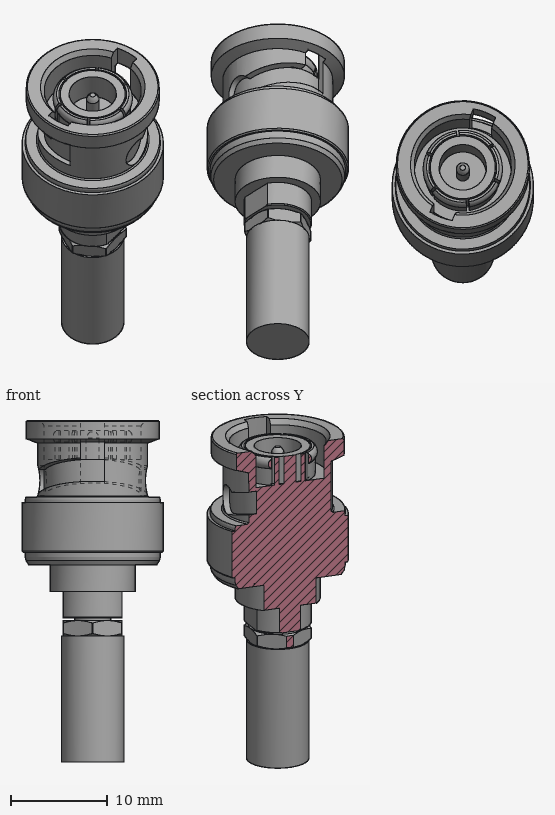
import cadquery as cq
import math


ferrule_top = 13.0
nut_top = 14.6
shank_bottom = 14.85
stem_bottom = 17.6
collar_bottom = 20.35
barrel_bottom = 21.6
barrel_top = 26.75
collar_top = 27.32
neck_top = 32.9
head_bottom = 33.35
sleeve_top = 35.25
shoulder_z = 31.2
contact_top = 34.2
insulator_top = 34.2
pin_top = 34.05

ferrule_r = 3.25
gap_r = 1.87
shank_r = 3.5
stem_r = 4.4
collar_r = 6.98
barrel_r = 7.3
neck_r = 5.68
head_r = 6.87
bore_r = 5.0

barrel_chamfer = 0.15
neck_foot = 0.15
shank_chamfer = 0.1
head_chamfer = 0.15
collar_taper = 0.07
collar_upper_taper_height = 0.25
collar_lower_taper_height = 0.3
collar_lower_chamfer_r = 0.28
collar_lower_chamfer_height = 0.45
bore_chamfer_r = 0.4
bore_chamfer_depth = 0.55

across_flats = 6.1
nut_chamfer_height = 0.25

contact_bulge_r = 4.1
contact_waist_r = 3.88
contact_tip_r = 3.75
contact_bore_r = 3.5
contact_bulge_z = 33.63
contact_waist_z = 33.0
slit_count = 6
slit_width = 0.28
insulator_r = 3.35
socket_r = 2.43
pin_r = 0.67
pin_tip_r = 0.28
pin_nose_bulge = 0.07
pin_shoulder_z = 33.45

key_width = 2.45
key_outer_r = 6.05
lock_hole_r = 1.55
lock_hole_z = 29.05
ramp_width = 2.35
ramp_angle = 15.0


def disc(radius, bottom, top):
    return cq.Workplane("XY").workplane(offset=bottom).circle(radius).extrude(top - bottom)


def make_sleeve_and_stem():
    """Ferrule, stem, collar, neck and head as one turned body, with the sleeve bored from the top."""
    lower_taper_r = collar_r - collar_taper
    lower_chamfer_z = collar_bottom + collar_lower_chamfer_height
    outline = [
        (0, 0),
        (ferrule_r, 0),
        (ferrule_r, ferrule_top),
        (gap_r, ferrule_top),
        (gap_r, shank_bottom),
        (shank_r - shank_chamfer, shank_bottom),
        (shank_r, shank_bottom + shank_chamfer),
        (shank_r, stem_bottom),
        (stem_r, stem_bottom),
        (stem_r, collar_bottom),
        (lower_taper_r - collar_lower_chamfer_r, collar_bottom),
        (lower_taper_r, lower_chamfer_z),
        (collar_r, lower_chamfer_z + collar_lower_taper_height),
        (collar_r, barrel_bottom),
        (barrel_r - barrel_chamfer, barrel_bottom),
        (barrel_r, barrel_bottom + barrel_chamfer),
        (barrel_r, barrel_top),
        (collar_r, barrel_top),
        (collar_r, collar_top - collar_upper_taper_height),
        (collar_r - collar_taper, collar_top),
        (neck_r + neck_foot, collar_top),
        (neck_r, collar_top + neck_foot),
        (neck_r, neck_top),
        (head_r, head_bottom),
        (head_r, sleeve_top - head_chamfer),
        (head_r - head_chamfer, sleeve_top),
        (bore_r + bore_chamfer_r, sleeve_top),
        (bore_r, sleeve_top - bore_chamfer_depth),
        (bore_r, shoulder_z),
        (0, shoulder_z),
    ]
    return cq.Workplane("XZ").polyline(outline).close().revolve(360, (0, 0, 0), (0, 1, 0))


def cut_wrench_flats(body):
    """Two flats on the shank, square to X."""
    height = stem_bottom - shank_bottom
    keep = cq.Workplane("XY").box(across_flats, 2 * shank_r, height)
    waste = cq.Workplane("XY").box(2 * shank_r, 2 * shank_r, height).cut(keep)
    return body.cut(waste.translate((0, 0, shank_bottom + height / 2)))


def make_nut():
    """Hexagon with corners on the Y axis and both ends chamfered, its corners turned flush with the shank."""
    corner_r = across_flats / 2 / math.cos(math.radians(30))
    height = nut_top - ferrule_top
    hexagon = (
        cq.Workplane("XY")
        .workplane(offset=ferrule_top)
        .polygon(6, 2 * corner_r)
        .extrude(height)
        .rotate((0, 0, 0), (0, 0, 1), 30)
    )
    envelope = [
        (0, ferrule_top),
        (across_flats / 2, ferrule_top),
        (shank_r, ferrule_top + nut_chamfer_height),
        (shank_r, nut_top - nut_chamfer_height),
        (across_flats / 2, nut_top),
        (0, nut_top),
    ]
    turned = cq.Workplane("XZ").polyline(envelope).close().revolve(360, (0, 0, 0), (0, 1, 0))
    return hexagon.intersect(turned)


def make_bayonet_track():
    """One track: key slot at -Y, ramp falling towards -X, round lock hole at -X."""
    reach = 2 * head_r
    key_slot = cq.Workplane("XY").box(key_width, reach, sleeve_top - lock_hole_z)
    key_slot = key_slot.translate((0, -reach / 2, (sleeve_top + lock_hole_z) / 2))
    key_slot = key_slot.intersect(disc(key_outer_r, shoulder_z - ramp_width / 2, sleeve_top))

    ramp_length = 2 * neck_r
    ramp_span = neck_r + key_width / 2
    ramp = cq.Workplane("XY").box(ramp_span, ramp_length, ramp_width)
    ramp = ramp.translate((
        key_width / 2 - ramp_span / 2,
        -ramp_length / 2,
        ramp_width / 2 - lock_hole_r,
    ))
    ramp = ramp.rotate((0, 0, 0), (1, 0, 0), -ramp_angle)
    ramp = ramp.translate((0, 0, lock_hole_z))

    lock_hole = cq.Workplane("YZ").center(0, lock_hole_z).circle(lock_hole_r).extrude(-neck_r)
    ramp_and_hole = ramp.union(lock_hole).intersect(disc(neck_r + neck_foot, collar_top, neck_top))
    return key_slot.union(ramp_and_hole).cut(disc(bore_r, 0, sleeve_top))


def make_contact():
    """Springy outer contact: a bulged ring split by radial slits."""
    ring = (
        cq.Workplane("XZ")
        .moveTo(contact_bore_r, shoulder_z)
        .lineTo(contact_waist_r, shoulder_z)
        .lineTo(contact_waist_r, contact_waist_z)
        .threePointArc((contact_bulge_r, contact_bulge_z), (contact_tip_r, contact_top))
        .lineTo(contact_bore_r, contact_top)
        .close()
        .revolve(360, (0, 0, 0), (0, 1, 0))
    )
    slit_height = contact_top - shoulder_z
    slit = cq.Workplane("XY").box(contact_bulge_r, slit_width, slit_height)
    slit = slit.translate((contact_bulge_r / 2 + socket_r, 0, shoulder_z + slit_height / 2))
    for index in range(slit_count):
        ring = ring.cut(slit.rotate((0, 0, 0), (0, 0, 1), index * 360 / slit_count))
    return ring


def make_insulator():
    """Insulator ring whose socket surrounds the pin."""
    return disc(insulator_r, shoulder_z, insulator_top).cut(disc(socket_r, shoulder_z, insulator_top))


def make_pin():
    """Round pin with a convex nose and a small flat tip."""
    nose_middle = (
        (pin_r + pin_tip_r) / 2 + pin_nose_bulge,
        (pin_shoulder_z + pin_top) / 2,
    )
    return (
        cq.Workplane("XZ")
        .moveTo(0, shoulder_z)
        .lineTo(pin_r, shoulder_z)
        .lineTo(pin_r, pin_shoulder_z)
        .threePointArc(nose_middle, (pin_tip_r, pin_top))
        .lineTo(0, pin_top)
        .close()
        .revolve(360, (0, 0, 0), (0, 1, 0))
    )


body = cut_wrench_flats(make_sleeve_and_stem())
track = make_bayonet_track()
body = body.cut(track).cut(track.rotate((0, 0, 0), (0, 0, 1), 180))
for piece in (make_nut(), make_contact(), make_insulator(), make_pin()):
    body = body.union(piece)

result = body